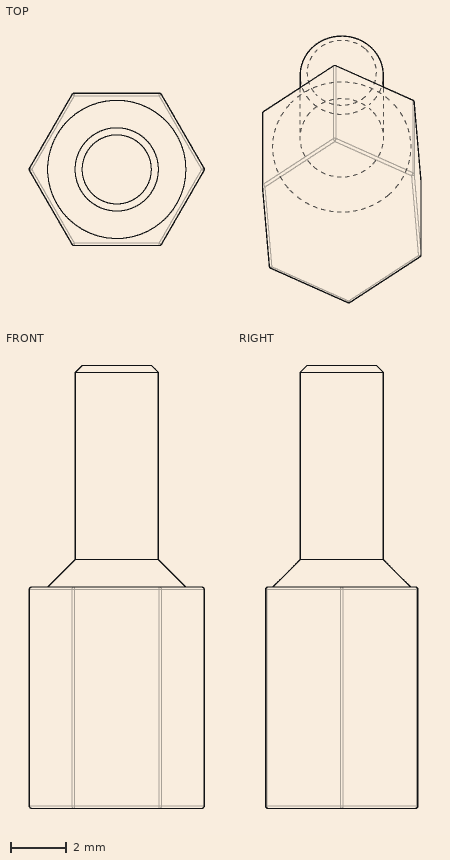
import cadquery as cq
import math

total_height = 16.0
body_height = total_height / 2
across_flats = 5.5
edge_radius = 0.1
stud_diameter = 3.0
cone_base_diameter = 5.0
tip_chamfer = 0.25

cone_height = (cone_base_diameter - stud_diameter) / 2
across_corners = across_flats / math.cos(math.radians(30))


def hex_body():
    """Hexagonal prism with corners on the X axis and every edge rounded."""
    prism = cq.Workplane("XY").polygon(6, across_corners).extrude(body_height)
    return prism.edges().fillet(edge_radius)


def stud():
    """Conical neck and chamfered round stud, standing on the hexagonal body."""
    stud_radius = stud_diameter / 2
    neck_top = body_height + cone_height
    return (
        cq.Workplane("XZ")
        .moveTo(0, body_height)
        .lineTo(cone_base_diameter / 2, body_height)
        .lineTo(stud_radius, neck_top)
        .lineTo(stud_radius, total_height - tip_chamfer)
        .lineTo(stud_radius - tip_chamfer, total_height)
        .lineTo(0, total_height)
        .close()
        .revolve(360, (0, 0, 0), (0, 1, 0))
    )


result = hex_body().union(stud())